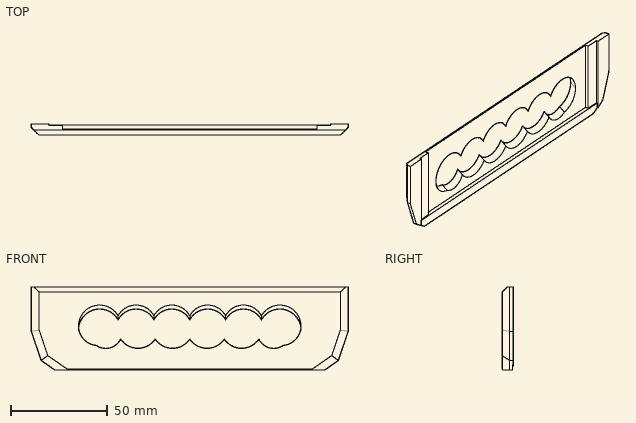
import cadquery as cq
import math

LENGTH = 165.0
THICKNESS = 6.0
HEIGHT = 43.2
RIM_DEPTH = 2.0
END_BEVEL = 4.1
TOP_CHAMFER = 2.6
BOTTOM_CHAMFER = 0.5

SIDE_BOTTOM_Z = 20.1
KNEE_X = 77.4
KNEE_Z = 5.0
FOOT_X = 70.3
OVERSIZE = 16.5

FINGERS = 6
UPPER_PITCH = 18.6
UPPER_CUSP_Z = 28.2
CREST_Z = 33.8
LOWER_PITCH = 18.0
LOWER_CUSP_Z = 16.2
TROUGH_Z = 11.4
END_TROUGH_OFFSET = 6.6
GRIP_HALF_LENGTH = 57.9
GRIP_END_Z = 23.1
END_CURVE_X = 54.8
END_CURVE_Z = 15.7
END_CURVE_FOOT_X = 48.7
END_CURVE_FOOT_Z = 12.9
GRIP_DROP = 2.1

WEB_THICKNESS = THICKNESS - TOP_CHAMFER
POCKET_HALF_LENGTH = 66.3
NOTCH_HALF_LENGTH = 73.3
POCKET_FLOOR_Z = 5.0
NOTCH_DEPTH = 1.0
BACK_RELIEF = 0.5


def plate():
    """Bevelled ends trimmed to the chamfered cross-section."""
    foot_slope = (KNEE_X - FOOT_X) / KNEE_Z
    right_side = [
        (LENGTH / 2, HEIGHT + OVERSIZE),
        (LENGTH / 2, SIDE_BOTTOM_Z),
        (KNEE_X, KNEE_Z),
        (FOOT_X - OVERSIZE * foot_slope, -OVERSIZE),
    ]
    left_side = [(-x, z) for x, z in reversed(right_side)]
    outline = right_side + left_side
    bevel_depth = THICKNESS - RIM_DEPTH
    bevel_angle = math.degrees(math.atan2(END_BEVEL, bevel_depth))

    rim = cq.Workplane("XZ", origin=(0, THICKNESS, 0)).polyline(outline).close().extrude(RIM_DEPTH)
    bevelled = (
        cq.Workplane("XZ", origin=(0, bevel_depth, 0))
        .polyline(outline).close().extrude(bevel_depth, taper=bevel_angle)
    )
    section = (
        cq.Workplane("YZ")
        .polyline([
            (BOTTOM_CHAMFER, 0),
            (THICKNESS, 0),
            (THICKNESS, HEIGHT),
            (TOP_CHAMFER, HEIGHT),
            (0, HEIGHT - TOP_CHAMFER),
            (0, BOTTOM_CHAMFER),
        ])
        .close().extrude(LENGTH / 2, both=True)
    )
    return rim.union(bevelled).intersect(section)


def grip_wire(y):
    """Scalloped opening outline at depth y."""
    drop = GRIP_DROP * y / WEB_THICKNESS

    def point(x, z):
        return cq.Vector(x, y, z - drop)

    edges = []

    def arc(start, middle, end):
        edges.append(cq.Edge.makeThreePointArc(point(*start), point(*middle), point(*end)))

    def cusps(pitch, z):
        return [((i - FINGERS / 2) * pitch, z) for i in range(1, FINGERS)]

    crest_x = (FINGERS - 1) / 2 * UPPER_PITCH
    trough_x = (FINGERS / 2 - 1) * LOWER_PITCH + END_TROUGH_OFFSET
    upper = cusps(UPPER_PITCH, UPPER_CUSP_Z)
    lower = cusps(LOWER_PITCH, LOWER_CUSP_Z)
    left_end = (-GRIP_HALF_LENGTH, GRIP_END_Z)
    right_end = (GRIP_HALF_LENGTH, GRIP_END_Z)
    left_foot = (-END_CURVE_FOOT_X, END_CURVE_FOOT_Z)
    right_foot = (END_CURVE_FOOT_X, END_CURVE_FOOT_Z)

    arc(left_end, (-crest_x, CREST_Z), upper[0])
    for start, end in zip(upper, upper[1:]):
        arc(start, ((start[0] + end[0]) / 2, CREST_Z), end)
    arc(upper[-1], (crest_x, CREST_Z), right_end)
    arc(right_end, (END_CURVE_X, END_CURVE_Z), right_foot)
    arc(right_foot, (trough_x, TROUGH_Z), lower[-1])
    for end, start in reversed(list(zip(lower, lower[1:]))):
        arc(start, ((start[0] + end[0]) / 2, TROUGH_Z), end)
    arc(lower[0], (-trough_x, TROUGH_Z), left_foot)
    arc(left_foot, (-END_CURVE_X, END_CURVE_Z), left_end)
    return cq.Wire.assembleEdges(edges)


def grip_opening():
    return cq.Workplane(cq.Solid.makeLoft([grip_wire(0), grip_wire(WEB_THICKNESS)], True))


def back_recess(half_length, floor_z, depth):
    """Block removed from the back, open at the top edge."""
    block = cq.Workplane().box(
        2 * half_length, depth, HEIGHT - floor_z, centered=(True, False, False)
    )
    return block.translate((0, THICKNESS - depth, floor_z))


result = (
    plate()
    .cut(back_recess(NOTCH_HALF_LENGTH, 0, BACK_RELIEF))
    .cut(back_recess(NOTCH_HALF_LENGTH, POCKET_FLOOR_Z, NOTCH_DEPTH))
    .cut(back_recess(POCKET_HALF_LENGTH, POCKET_FLOOR_Z, THICKNESS - WEB_THICKNESS))
    .cut(grip_opening())
)